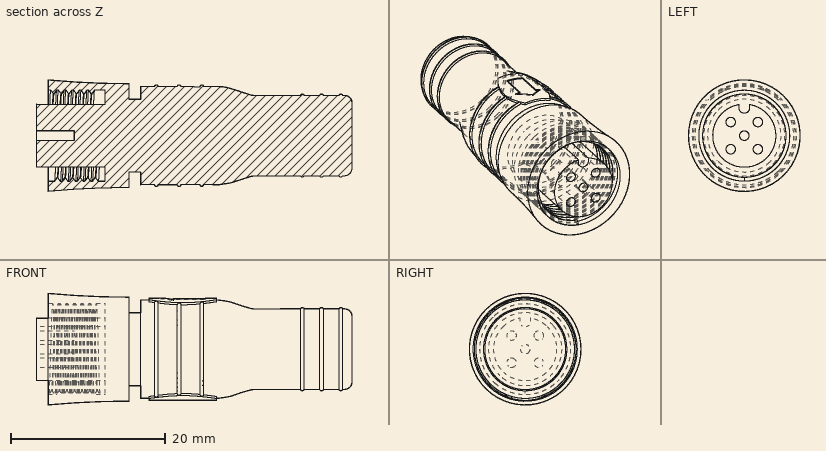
import cadquery as cq

total_length = 41.0

core_radius = 4.1
key_width = 1.4
key_floor = 2.9
pin_diameter = 1.25
pin_offset = 1.75
pin_depth = 4.9

nut_front = 1.5
nut_rear = 12.05
nut_front_radius = 7.25
nut_middle_radius = 6.9
nut_rear_radius = 6.75
bore_radius = 5.9
bore_depth = 7.4

thread_pitch = 1.0
thread_turns = 6
thread_height = 0.5
thread_base = 0.95
thread_crest = 0.1
thread_root_overlap = 0.12

neck_radius = 4.75
body_front = 13.55
body_radius = 6.4
taper_front = 24.45
taper_rear = 28.0
taper_front_blend = 5.35
taper_rear_blend = 1.25
sleeve_radius = 5.25
end_round = 1.02

rib_count = 3
rib_width = 0.5
body_rib_first = 15.6
body_rib_spacing = 2.95
body_rib_height = 0.2
sleeve_rib_first = 34.52
sleeve_rib_spacing = 2.5
sleeve_rib_height = 0.15

pad_front = 14.65
pad_rear = 23.4
pad_radius = 6.65
pad_end_half_width = 1.75
pad_middle_half_width = 2.8

arrow_tip = 16.2
arrow_head_rear = 17.85
arrow_rear = 21.95
arrow_head_half_width = 1.72
arrow_shaft_half_width = 1.1
arrow_depth = 0.12


def cylinder_x(start, end, radius):
    """Solid cylinder along X from start to end."""
    return cq.Workplane("YZ", origin=(start, 0, 0)).circle(radius).extrude(end - start)


def turned(profile):
    """Revolve a closed profile, drawn with X along the axis and Y as radius, about X."""
    return profile.revolve(360, (0, 0, 0), (1, 0, 0))


def make_body():
    profile = cq.Workplane("XY").polyline([
        (body_front, 0),
        (body_front, body_radius),
        (taper_front, body_radius),
        (taper_rear, sleeve_radius),
        (total_length, sleeve_radius),
        (total_length, 0),
    ]).close()
    body = turned(profile)

    def circle_at(x, radius):
        margin = 0.05
        return cq.selectors.BoxSelector(
            (x - margin, -radius - margin, -radius - margin),
            (x + margin, radius + margin, radius + margin),
            boundingbox=True,
        )

    body = body.edges(circle_at(taper_front, body_radius)).fillet(taper_front_blend)
    body = body.edges(circle_at(taper_rear, sleeve_radius)).fillet(taper_rear_blend)
    return body.faces(">X").edges().fillet(end_round)


def make_rib(x, radius, height):
    """Ring with a rounded crest around a cylinder of the given radius."""
    foot = radius - height
    profile = (
        cq.Workplane("XY")
        .moveTo(x - rib_width / 2, foot)
        .lineTo(x - rib_width / 2, radius)
        .threePointArc((x, radius + height), (x + rib_width / 2, radius))
        .lineTo(x + rib_width / 2, foot)
        .close()
    )
    return turned(profile)


def make_pads():
    """Barrel-shaped pads on +Z and -Z, curved like the body."""
    pad_middle = (pad_front + pad_rear) / 2
    outline = (
        cq.Workplane("XY", origin=(0, 0, -pad_radius))
        .moveTo(pad_front, -pad_end_half_width)
        .threePointArc((pad_middle, -pad_middle_half_width), (pad_rear, -pad_end_half_width))
        .lineTo(pad_rear, pad_end_half_width)
        .threePointArc((pad_middle, pad_middle_half_width), (pad_front, pad_end_half_width))
        .close()
        .extrude(2 * pad_radius)
    )
    return outline.intersect(cylinder_x(pad_front, pad_rear, pad_radius))


def make_arrow_cut():
    arrow = cq.Workplane("XY").polyline([
        (arrow_tip, 0),
        (arrow_head_rear, arrow_head_half_width),
        (arrow_head_rear, arrow_shaft_half_width),
        (arrow_rear, arrow_shaft_half_width),
        (arrow_rear, -arrow_shaft_half_width),
        (arrow_head_rear, -arrow_shaft_half_width),
        (arrow_head_rear, -arrow_head_half_width),
    ]).close().extrude(2 * pad_radius)
    return arrow.cut(cylinder_x(pad_front, pad_rear, pad_radius - arrow_depth))


def make_nut():
    nut_middle = (nut_front + nut_rear) / 2
    profile = (
        cq.Workplane("XY")
        .moveTo(nut_front, 0)
        .lineTo(nut_front, nut_front_radius)
        .threePointArc((nut_middle, nut_middle_radius), (nut_rear, nut_rear_radius))
        .lineTo(nut_rear, 0)
        .close()
    )
    return turned(profile).cut(cylinder_x(nut_front, nut_front + bore_depth, bore_radius))


def make_thread():
    """Trapezoidal ridge wound inside the nut bore, starting at the bottom."""
    helix = cq.Wire.makeHelix(thread_pitch, thread_turns * thread_pitch, bore_radius)
    root = bore_radius + thread_root_overlap
    crest = bore_radius - thread_height
    ridge = (
        cq.Workplane("XZ")
        .polyline([
            (root, -thread_base / 2),
            (crest, -thread_crest / 2),
            (crest, thread_crest / 2),
            (root, thread_base / 2),
        ])
        .close()
        .sweep(cq.Workplane(obj=helix), isFrenet=True)
    )
    thread_start = nut_front + thread_pitch / 2
    return ridge.rotate((0, 0, 0), (0, 1, 0), 90).translate((thread_start, 0, 0))


def make_core():
    """Socket insert with a round-bottomed keyway on top and five pin holes."""
    floor_x = nut_front + bore_depth
    core = cylinder_x(0, floor_x, core_radius)
    key_center = key_floor + key_width / 2
    keyway = cylinder_x(0, floor_x, key_width / 2).translate((0, 0, key_center))
    keyway = keyway.union(
        cq.Workplane("XY", origin=(floor_x / 2, 0, key_center))
        .rect(floor_x, key_width)
        .extrude(core_radius)
    )
    pins = [(0, 0)] + [(y * pin_offset, z * pin_offset) for y in (-1, 1) for z in (-1, 1)]
    holes = cq.Workplane("YZ").pushPoints(pins).circle(pin_diameter / 2).extrude(pin_depth)
    return core.cut(keyway).cut(holes)


result = make_body()
for step in range(rib_count):
    body_rib = body_rib_first + step * body_rib_spacing
    sleeve_rib = sleeve_rib_first + step * sleeve_rib_spacing
    result = result.union(make_rib(body_rib, body_radius, body_rib_height))
    result = result.union(make_rib(sleeve_rib, sleeve_radius, sleeve_rib_height))
result = result.union(make_pads()).cut(make_arrow_cut())
result = result.union(cylinder_x(nut_rear, body_front, neck_radius))
result = result.union(make_nut().union(make_thread()))
result = result.union(make_core())